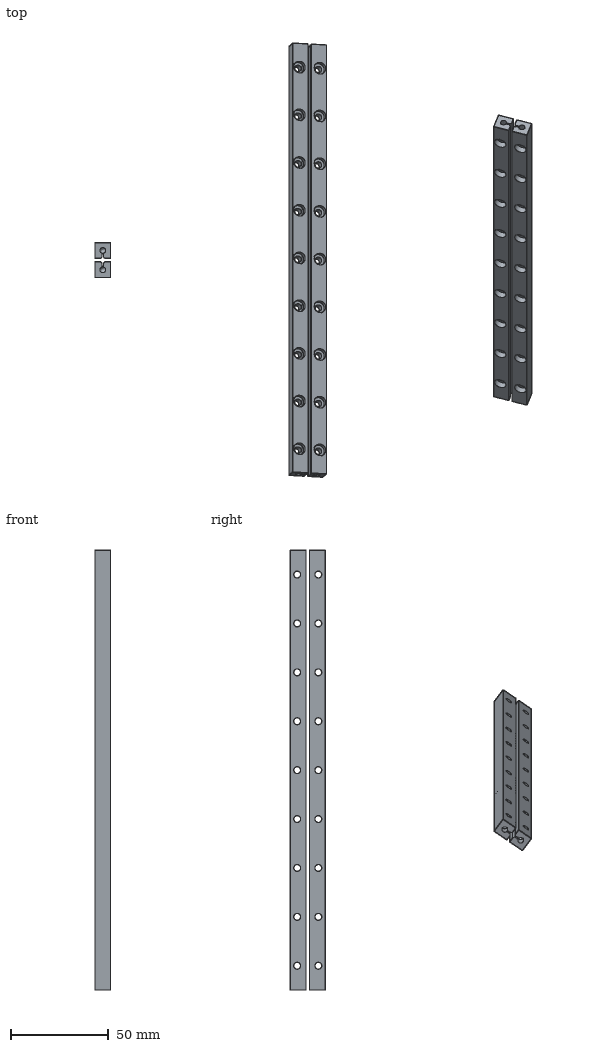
import cadquery as cq


rail_length = 225.0
rail_thickness = 8.0
pair_width = 18.0
rail_gap = 1.6
rail_width = (pair_width - rail_gap) / 2
edge_chamfer = 0.2

track_depth = 1.1
relief_width = 0.7
relief_depth = 2.2

hole_count = 9
hole_pitch = rail_length / hole_count
first_hole_z = hole_pitch / 2
hole_to_outer_face = 3.5
hole_diameter = 3.4
counterbore_diameter = 6.0
counterbore_depth = 3.2

end_hole_diameter = 3.0
end_hole_depth = 6.0
end_hole_to_outer_face = 4.0

outer_y = pair_width / 2
inner_y = rail_gap / 2
face_x = rail_thickness / 2


def rail_blank():
    """Rail on the +Y side: a bar with all its edges chamfered."""
    bar = cq.Workplane("XY").box(rail_thickness, rail_width, rail_length, centered=(True, False, False))
    return bar.translate((0, inner_y, 0)).edges().chamfer(edge_chamfer)


def roller_track():
    """V groove and its relief slot, along the whole inner face."""
    groove = (
        cq.Workplane("XY")
        .polyline([(-track_depth, inner_y), (track_depth, inner_y), (0, inner_y + track_depth)])
        .close()
        .extrude(rail_length)
    )
    slot = cq.Workplane("XY").box(relief_width, relief_depth, rail_length, centered=(True, False, False))
    return groove.union(slot.translate((0, inner_y, 0)))


def mounting_hole(z):
    """Counterbored through hole along X at height z."""
    face = cq.Workplane("YZ", origin=(-face_x, outer_y - hole_to_outer_face, z))
    through = face.circle(hole_diameter / 2).extrude(rail_thickness)
    counterbore = face.circle(counterbore_diameter / 2).extrude(counterbore_depth)
    return through.union(counterbore)


def end_hole():
    """Blind hole in the lower end, with a 90 degree drill point."""
    radius = end_hole_diameter / 2
    center_y = outer_y - end_hole_to_outer_face
    half_section = [(0, 0), (radius, 0), (radius, end_hole_depth), (0, end_hole_depth + radius)]
    return (
        cq.Workplane("XZ", origin=(0, center_y, 0))
        .polyline(half_section)
        .close()
        .revolve(360, (0, 0), (0, 1))
    )


def guide_rail():
    """Finished rail on the +Y side."""
    rail = rail_blank().cut(roller_track())
    for index in range(hole_count):
        rail = rail.cut(mounting_hole(first_hole_z + index * hole_pitch))
    lower_hole = end_hole()
    upper_hole = lower_hole.mirror("XY", (0, 0, rail_length / 2))
    return rail.cut(lower_hole).cut(upper_hole)


rear_rail = guide_rail()
rails = [rear_rail, rear_rail.mirror("XZ")]

result = cq.Compound.makeCompound([rail.val() for rail in rails])